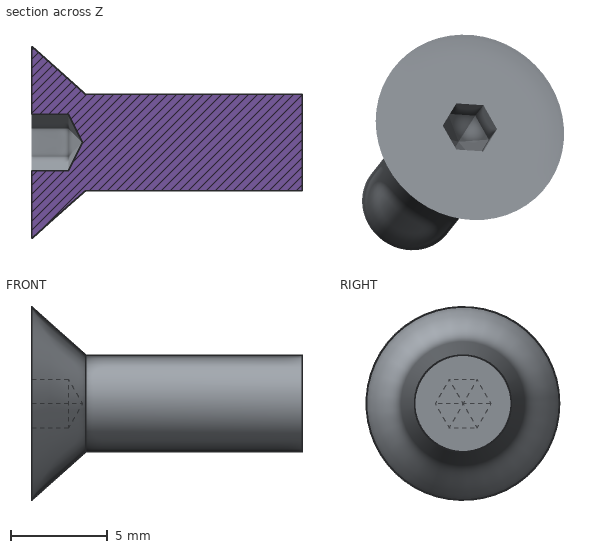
import cadquery as cq
import math

length = 14.0
head_diameter = 10.0
shank_diameter = 5.0
head_height = 2.8
socket_across_flats = 2.49
socket_depth = 1.9
tip_half_angle = 60.0
tip_flat = 0.003

head_radius = head_diameter / 2
shank_radius = shank_diameter / 2


def make_body():
    """Revolve the conical head and the plain shank about the X axis."""
    return (
        cq.Workplane("XY")
        .lineTo(0, head_radius)
        .lineTo(head_height, shank_radius)
        .lineTo(length, shank_radius)
        .lineTo(length, 0)
        .close()
        .revolve(360, (0, 0, 0), (1, 0, 0))
    )


def make_socket():
    """Hexagonal socket with corners along Y and a six-sided pointed bottom."""
    across_corners = socket_across_flats / math.cos(math.radians(30))
    tip_inset = (socket_across_flats - tip_flat) / 2
    tip_depth = tip_inset / math.tan(math.radians(tip_half_angle))
    walls = cq.Workplane("YZ").polygon(6, across_corners).extrude(socket_depth)
    tip = (
        cq.Workplane("YZ", origin=(socket_depth, 0, 0))
        .polygon(6, across_corners)
        .extrude(tip_depth, taper=tip_half_angle)
    )
    return walls.union(tip)


result = make_body().cut(make_socket())